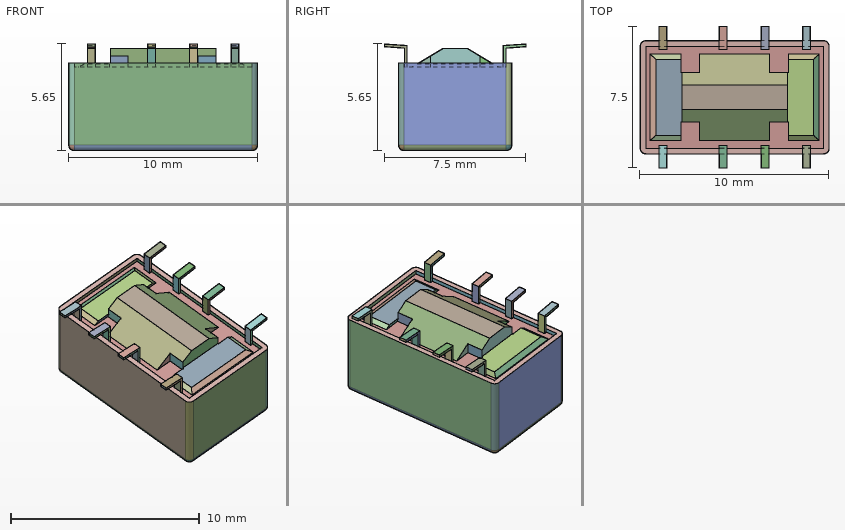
import cadquery as cq

body_length = 10.0
body_width = 6.0
body_height = 4.65
edge_radius = 0.3
wall = 0.3
recess_depth = 0.22
floor_z = body_height - recess_depth

base_length = 8.94
base_width = 4.56
base_height = 0.16
base_end_run = 0.3

ridge_length = 5.6
ridge_flat_width = 1.3
ridge_rise_above_rim = 0.76
ridge_height = ridge_rise_above_rim + recess_depth

ridge_side_run = (base_width - ridge_flat_width) / 2
base_side_run = base_height * ridge_side_run / ridge_height

notch_inner_x = 1.85
notch_outer_x = 2.84
notch_inner_y = 1.31

pin_positions = (-3.8, -0.61, 1.61, 3.8)
pin_width = 0.42
pin_thickness = 0.15
pin_inner_y = 2.54
pin_tip_y = 3.75
pin_rise_above_rim = 1.0
pin_tip_z = body_height + pin_rise_above_rim
foot_rise = 0.08


def make_housing():
    box = cq.Workplane("XY").box(body_length, body_width, body_height, centered=(True, True, False))
    box = box.edges("|Z or <Z").fillet(edge_radius)
    recess = (
        cq.Workplane("XY", origin=(0, 0, floor_z))
        .rect(body_length - 2 * wall, body_width - 2 * wall)
        .extrude(recess_depth)
    )
    return box.cut(recess)


def make_base():
    """Low frustum whose ends and sides slope at different angles."""
    return (
        cq.Workplane("XY", origin=(0, 0, floor_z))
        .rect(base_length, base_width)
        .workplane(offset=base_height)
        .rect(base_length - 2 * base_end_run, base_width - 2 * base_side_run)
        .loft(ruled=True)
    )


def make_ridge():
    """Trapezoidal bar along X, as wide at its foot as the base plate."""
    return (
        cq.Workplane("YZ", origin=(-ridge_length / 2, 0, floor_z))
        .moveTo(-base_width / 2, 0)
        .lineTo(base_width / 2, 0)
        .lineTo(ridge_flat_width / 2, ridge_height)
        .lineTo(-ridge_flat_width / 2, ridge_height)
        .close()
        .extrude(ridge_length)
    )


def make_notches():
    size_x = notch_outer_x - notch_inner_x
    size_y = base_width / 2 - notch_inner_y
    center_x = (notch_outer_x + notch_inner_x) / 2
    center_y = notch_inner_y + size_y / 2
    return (
        cq.Workplane("XY", origin=(0, 0, floor_z))
        .rect(2 * center_x, 2 * center_y, forConstruction=True)
        .vertices()
        .rect(size_x, size_y)
        .extrude(ridge_height)
    )


def make_pin(x):
    """Upright leg standing on the recess floor, with a foot rising slightly outward."""
    leg_outer_y = pin_inner_y + pin_thickness
    bend_z = pin_tip_z - foot_rise
    return (
        cq.Workplane("YZ", origin=(x - pin_width / 2, 0, 0))
        .moveTo(pin_inner_y, floor_z)
        .lineTo(pin_inner_y, bend_z)
        .lineTo(pin_tip_y, pin_tip_z)
        .lineTo(pin_tip_y, pin_tip_z - pin_thickness)
        .lineTo(leg_outer_y, bend_z - pin_thickness)
        .lineTo(leg_outer_y, floor_z)
        .close()
        .extrude(pin_width)
    )


base_with_ridge = make_base().union(make_ridge()).cut(make_notches())
result = make_housing().union(base_with_ridge)
for pin_x in pin_positions:
    pin = make_pin(pin_x)
    result = result.union(pin).union(pin.mirror("XZ"))